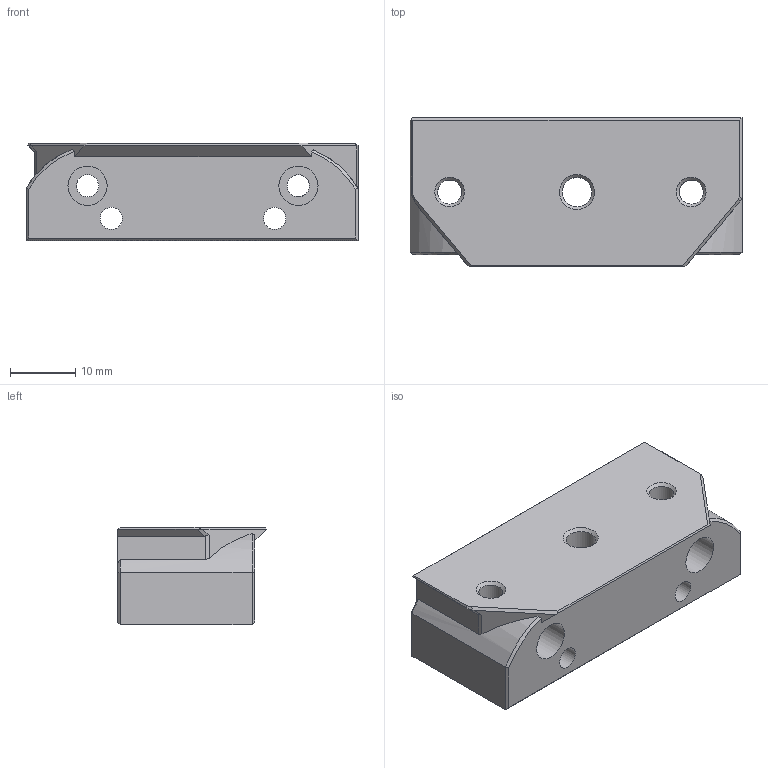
import cadquery as cq
import math

WIDTH = 50.85
BODY_DEPTH = 21.0
HEIGHT = 14.9
SIDE_HEIGHT = 8.0
SHOULDER_RUN = 12.0
BODY_BEVEL = 0.4

TOP_BEVEL = 0.4
CORNER_BEVEL = 0.3
BEVELLED_TIP_RETREAT = TOP_BEVEL * math.sin(math.radians(45))
TOTAL_DEPTH = 22.78
FRONT_TIP_Y = BODY_DEPTH - TOTAL_DEPTH - BEVELLED_TIP_RETREAT
LEFT_UNDERCUT = 1.35
BLOCK_FLOOR = 6.0
BLOCK_CENTRE_X = 0.15
DIAGONAL_ANGLE = 40.0
DIAGONAL_START_Y = 8.5

SCREW_DIAMETER = 3.4
COUNTERBORE_DIAMETER = 6.0
COUNTERBORE_DEPTH = 7.0
UPPER_SCREW_SPACING = 32.3
UPPER_SCREW_Z = 8.4
LOWER_SCREW_SPACING = 25.0
LOWER_SCREW_Z = 3.4

VERTICAL_HOLES = [(-19.5, 3.7), (0.0, 4.52), (17.5, 3.7)]
VERTICAL_HOLE_Y = 9.6
HOLE_BEVEL = 0.42

LEFT = -WIDTH / 2
RIGHT = WIDTH / 2
BLOCK_HALF_WIDTH = RIGHT - BLOCK_CENTRE_X
LEFT_TIP_X = BLOCK_CENTRE_X - BLOCK_HALF_WIDTH - BEVELLED_TIP_RETREAT


def make_body():
    """Extruded front outline with a convex shoulder arc at each end."""
    rise = HEIGHT - SIDE_HEIGHT
    radius = (SHOULDER_RUN**2 + rise**2) / (2 * rise)
    sweep = math.asin(SHOULDER_RUN / radius)
    mid_inset = SHOULDER_RUN - radius * math.sin(sweep / 2)
    mid_z = HEIGHT - radius * (1 - math.cos(sweep / 2))
    body = (
        cq.Workplane("XZ")
        .moveTo(LEFT, 0)
        .lineTo(LEFT, SIDE_HEIGHT)
        .threePointArc((LEFT + mid_inset, mid_z), (LEFT + SHOULDER_RUN, HEIGHT))
        .lineTo(RIGHT - SHOULDER_RUN, HEIGHT)
        .threePointArc((RIGHT - mid_inset, mid_z), (RIGHT, SIDE_HEIGHT))
        .lineTo(RIGHT, 0)
        .close()
        .extrude(-BODY_DEPTH)
    )
    body = body.faces("<Y").chamfer(BODY_BEVEL)
    return body.faces(">Y").edges("not >X").chamfer(BODY_BEVEL)


def make_top_block():
    """Block with diagonal front corners, undercut at the front and left."""
    slope = math.tan(math.radians(DIAGONAL_ANGLE))
    front_half = BLOCK_HALF_WIDTH - (DIAGONAL_START_Y - FRONT_TIP_Y) * slope
    left_start_y = DIAGONAL_START_Y + BEVELLED_TIP_RETREAT / slope
    block = (
        cq.Workplane("XY", origin=(0, 0, BLOCK_FLOOR))
        .moveTo(LEFT_TIP_X, BODY_DEPTH)
        .lineTo(LEFT_TIP_X, left_start_y)
        .lineTo(BLOCK_CENTRE_X - front_half, FRONT_TIP_Y)
        .lineTo(BLOCK_CENTRE_X + front_half, FRONT_TIP_Y)
        .lineTo(RIGHT, DIAGONAL_START_Y)
        .lineTo(RIGHT, BODY_DEPTH)
        .close()
        .extrude(HEIGHT - BLOCK_FLOOR)
    )
    left_cut = (
        cq.Workplane("XZ", origin=(0, FRONT_TIP_Y, 0))
        .moveTo(LEFT_TIP_X, HEIGHT)
        .lineTo(LEFT_TIP_X + LEFT_UNDERCUT, HEIGHT - LEFT_UNDERCUT)
        .lineTo(LEFT_TIP_X + LEFT_UNDERCUT, 0)
        .lineTo(LEFT_TIP_X, 0)
        .close()
        .extrude(FRONT_TIP_Y - BODY_DEPTH)
    )
    front_cut = (
        cq.Workplane("YZ", origin=(LEFT, 0, 0))
        .moveTo(FRONT_TIP_Y, HEIGHT)
        .lineTo(0, HEIGHT + FRONT_TIP_Y)
        .lineTo(0, 0)
        .lineTo(FRONT_TIP_Y, 0)
        .close()
        .extrude(WIDTH)
    )
    block = block.cut(left_cut).cut(front_cut)
    corner_edges = cq.selectors.BoxSelector(
        (LEFT, DIAGONAL_START_Y - LEFT_UNDERCUT, (BLOCK_FLOOR + SIDE_HEIGHT) / 2),
        (RIGHT + CORNER_BEVEL, left_start_y, HEIGHT - CORNER_BEVEL),
    )
    block = block.edges(corner_edges).chamfer(CORNER_BEVEL)
    return block.faces(">Z").chamfer(TOP_BEVEL)


def screw_holes(spacing, z, diameter, depth):
    """Pair of round cutters entering the front face."""
    return (
        cq.Workplane("XZ")
        .pushPoints([(BLOCK_CENTRE_X - spacing / 2, z), (BLOCK_CENTRE_X + spacing / 2, z)])
        .circle(diameter / 2)
        .extrude(-depth)
    )


def vertical_hole(x_offset, diameter):
    """Through hole cutter with a 45 degree countersink at the top."""
    radius = diameter / 2
    return (
        cq.Workplane("XZ", origin=(BLOCK_CENTRE_X + x_offset, VERTICAL_HOLE_Y, 0))
        .lineTo(radius, 0)
        .lineTo(radius, HEIGHT - HOLE_BEVEL)
        .lineTo(radius + HOLE_BEVEL, HEIGHT)
        .lineTo(0, HEIGHT)
        .close()
        .revolve(360, (0, 0), (0, 1))
    )


result = make_body().union(make_top_block())
result = result.cut(screw_holes(UPPER_SCREW_SPACING, UPPER_SCREW_Z, SCREW_DIAMETER, BODY_DEPTH))
result = result.cut(screw_holes(UPPER_SCREW_SPACING, UPPER_SCREW_Z, COUNTERBORE_DIAMETER, COUNTERBORE_DEPTH))
result = result.cut(screw_holes(LOWER_SCREW_SPACING, LOWER_SCREW_Z, SCREW_DIAMETER, BODY_DEPTH))
for hole_offset, hole_diameter in VERTICAL_HOLES:
    result = result.cut(vertical_hole(hole_offset, hole_diameter))